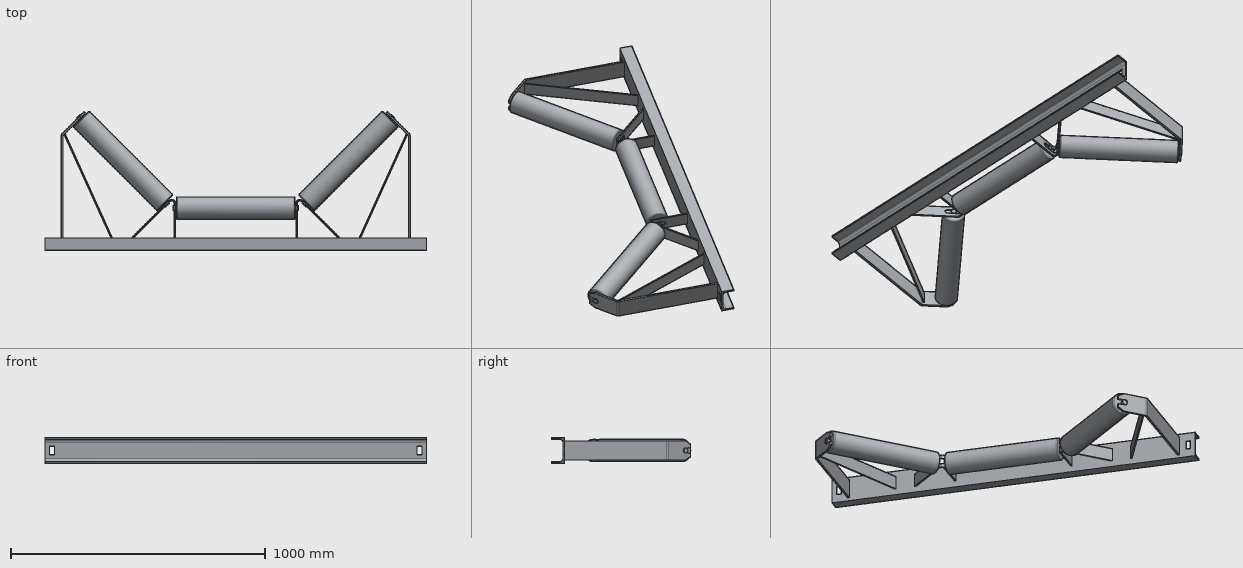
import cadquery as cq
import math

BASE_LENGTH = 1500.0
BASE_WIDTH = 100.0
BASE_HEIGHT = 50.0
WEB_THICKNESS = 6.0
FLANGE_THICKNESS = 6.8
ROOT_RADIUS = 11.2
SLOT_LENGTH_X = 18.0
SLOT_WIDTH_Z = 33.0
SLOT_END_MARGIN = 20.0

ROLLER_DIAMETER = 88.0
ROLLER_LENGTH = 465.0
ROLLER_EDGE_RADIUS = 3.8
SHAFT_DIAMETER = 21.0
SHAFT_OVERHANG = 3.0
END_GAP = 5.0
CENTRE_AXIS_Y = 166.0
WING_ANGLE = 45.0
WING_CENTRE_X = 442.0
WING_TOP_Y = 546.0

OUTER_WIDTH = 75.0
INNER_WIDTH = 51.0
TIP_WIDTH = 50.0
TIP_REACH = 28.0
TIP_CUT_LENGTH = 24.0
OUTER_THICKNESS = 8.0
INNER_THICKNESS = 6.0
BEND_INNER_RADIUS = 5.0
BRIDGE_RISE = 5.0

BRACE_WIDTH = 52.0
BRACE_THICKNESS_X = 6.0
BRACE_FOOT_X = 490.0
BRACE_TOP_OFFSET = 5.0

DIAGONAL = math.cos(math.radians(WING_ANGLE))
EDGE_CENTRE_SUM = (ROLLER_LENGTH + ROLLER_DIAMETER) / 2 - 2 * ROLLER_EDGE_RADIUS
WING_CENTRE_Y = WING_TOP_Y - ROLLER_EDGE_RADIUS - EDGE_CENTRE_SUM * DIAGONAL
INNER_FACE = ROLLER_LENGTH / 2 + END_GAP


def wing_point(along, across):
    """Point of the left wing: along its axis (up and outwards), across it (up and inwards)."""
    return (
        -WING_CENTRE_X + (across - along) * DIAGONAL,
        WING_CENTRE_Y + (across + along) * DIAGONAL,
    )


def wing_point_at_x(along, x):
    """Point of the bracket line at a given distance along the wing axis, found by its X."""
    across = along + (x + WING_CENTRE_X) / DIAGONAL
    return wing_point(along, across)


def wing_point_at_y(along, y):
    """Point of the bracket line at a given distance along the wing axis, found by its Y."""
    across = (y - WING_CENTRE_Y) / DIAGONAL - along
    return wing_point(along, across)


def strip(points, width):
    """Plate profile in XY, extruded symmetrically about Z = 0."""
    return cq.Workplane("XY").polyline(points).close().extrude(width / 2, both=True)


def bend(plate, inner_corners, outer_corners, thickness):
    """Round a plate's folds, given the XY corners on the inside and outside of each fold."""
    folds = ((inner_corners, BEND_INNER_RADIUS), (outer_corners, BEND_INNER_RADIUS + thickness))
    for corners, radius in folds:
        for x, y in corners:
            plate = plate.edges(cq.selectors.NearestToPointSelector((x, y, 0))).fillet(radius)
    return plate


def mirrored(body):
    return body.mirror("YZ")


def place_on_wing(body):
    """Move a body built along X at the origin onto the left wing axis."""
    turned = body.rotate((0, 0, 0), (0, 0, 1), -WING_ANGLE)
    return turned.translate((-WING_CENTRE_X, WING_CENTRE_Y, 0))


def make_base():
    block = cq.Workplane("XY").box(BASE_LENGTH, BASE_HEIGHT, BASE_WIDTH, centered=(True, False, True))
    inside_width = BASE_WIDTH - 2 * FLANGE_THICKNESS
    inside_height = BASE_HEIGHT - WEB_THICKNESS
    inside = cq.Workplane("XY").box(BASE_LENGTH, inside_height, inside_width, centered=(True, False, True))
    inside = inside.faces(">Y").edges("|X").fillet(ROOT_RADIUS)
    slot_x = BASE_LENGTH / 2 - SLOT_END_MARGIN - SLOT_LENGTH_X / 2
    slots = (
        cq.Workplane("XZ")
        .pushPoints([(-slot_x, 0), (slot_x, 0)])
        .rect(SLOT_LENGTH_X, SLOT_WIDTH_Z)
        .extrude(-BASE_HEIGHT)
    )
    return block.cut(inside).cut(slots)


def make_roller(first_thickness, last_thickness):
    first_end = INNER_FACE + first_thickness + SHAFT_OVERHANG
    last_end = INNER_FACE + last_thickness + SHAFT_OVERHANG
    shaft = (
        cq.Workplane("YZ", origin=(-first_end, 0, 0))
        .circle(SHAFT_DIAMETER / 2)
        .extrude(first_end + last_end)
    )
    shell = (
        cq.Workplane("YZ", origin=(-ROLLER_LENGTH / 2, 0, 0))
        .circle(ROLLER_DIAMETER / 2)
        .extrude(ROLLER_LENGTH)
        .edges()
        .fillet(ROLLER_EDGE_RADIUS)
    )
    return shell.union(shaft)


def shaft_slot(reach):
    """Open slot along +Y around a shaft that lies on the X axis."""
    length = 2 * (INNER_FACE + OUTER_WIDTH)
    round_end = cq.Workplane("YZ").circle(SHAFT_DIAMETER / 2).extrude(length / 2, both=True)
    straight = cq.Workplane("XY").box(length, reach, SHAFT_DIAMETER, centered=(True, False, True))
    return round_end.union(straight)


def corner_cutter(thickness_span):
    """Two blocks that bevel and narrow a bracket toward its +Y tip, centred on X = 0."""
    start = TIP_REACH - TIP_CUT_LENGTH
    cutter = cq.Workplane("XY")
    for side in (-1, 1):
        outline = [
            (start, side * OUTER_WIDTH / 2),
            (TIP_REACH, side * TIP_WIDTH / 2),
            (2 * TIP_REACH, side * TIP_WIDTH / 2),
            (2 * TIP_REACH, side * OUTER_WIDTH),
            (start, side * OUTER_WIDTH),
        ]
        cutter = cutter.add(
            cq.Workplane("YZ").polyline(outline).close().extrude(thickness_span, both=True)
        )
    return cutter.combine()


OUTER_NEAR = INNER_FACE
OUTER_FAR = INNER_FACE + OUTER_THICKNESS
OUTER_X = -685.0
OUTER_INNER_X = OUTER_X + OUTER_THICKNESS
OUTER_INSIDE_BEND = wing_point_at_x(OUTER_NEAR, OUTER_INNER_X)


def make_outer_bracket():
    outline = [
        (OUTER_X, BASE_HEIGHT),
        (OUTER_INNER_X, BASE_HEIGHT),
        OUTER_INSIDE_BEND,
        wing_point(OUTER_NEAR, TIP_REACH),
        wing_point(OUTER_FAR, TIP_REACH),
        wing_point_at_x(OUTER_FAR, OUTER_X),
    ]
    bracket = strip(outline, OUTER_WIDTH)
    bracket = bend(bracket, [outline[2]], [outline[5]], OUTER_THICKNESS)
    corners = corner_cutter(OUTER_FAR + END_GAP)
    return bracket.cut(place_on_wing(corners)).cut(place_on_wing(shaft_slot(2 * TIP_REACH)))


def make_inner_bracket():
    near = -INNER_FACE
    far = near - INNER_THICKNESS
    bridge_y = CENTRE_AXIS_Y + TIP_REACH + BRIDGE_RISE
    outline = [
        (near, BASE_HEIGHT),
        (near, bridge_y),
        wing_point_at_y(near, bridge_y),
        wing_point_at_y(near, BASE_HEIGHT),
        wing_point_at_y(far, BASE_HEIGHT),
        wing_point_at_y(far, bridge_y - INNER_THICKNESS),
        (far, bridge_y - INNER_THICKNESS),
        (far, BASE_HEIGHT),
    ]
    bracket = strip(outline, INNER_WIDTH)
    bracket = bend(bracket, outline[5:7], outline[1:3], INNER_THICKNESS)
    level = (0, CENTRE_AXIS_Y, 0)
    bracket = bracket.cut(shaft_slot(2 * TIP_REACH).translate(level))
    return bracket.cut(place_on_wing(shaft_slot(2 * TIP_REACH)))


def make_brace():
    bend_x, bend_y = OUTER_INSIDE_BEND
    top_x = bend_x + BRACE_TOP_OFFSET * DIAGONAL
    top_y = bend_y + BRACE_TOP_OFFSET * DIAGONAL
    run = top_x + BRACE_FOOT_X
    rise = top_y - BASE_HEIGHT
    stretch = BRACE_THICKNESS_X / (rise - run)
    outline = [
        (-BRACE_FOOT_X, BASE_HEIGHT),
        (top_x, top_y),
        (top_x + BRACE_THICKNESS_X + stretch * run, top_y + stretch * rise),
        (BRACE_THICKNESS_X - BRACE_FOOT_X, BASE_HEIGHT),
    ]
    return strip(outline, BRACE_WIDTH)


base = make_base()
centre_roller = make_roller(INNER_THICKNESS, INNER_THICKNESS).translate((0, CENTRE_AXIS_Y, 0))
wing_roller = place_on_wing(make_roller(OUTER_THICKNESS, INNER_THICKNESS))

bodies = [base.val(), centre_roller.val()]
for left_body in (wing_roller, make_outer_bracket(), make_inner_bracket(), make_brace()):
    bodies += [left_body.val(), mirrored(left_body).val()]

result = cq.Compound.makeCompound(bodies)